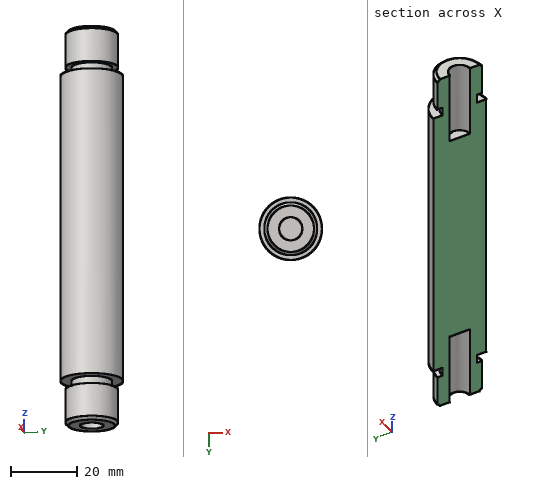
import cadquery as cq

total_length = 123.4
body_diameter = 19.0

journal_diameter = 16.0
journal_length = 11.2
journal_chamfer = 1.0
neck_diameter = 12.3
neck_width = 2.7

hole_diameter = 7.0
hole_depth = 24.7

half_length = total_length / 2
body_length = total_length - 2 * (journal_length + neck_width)


def end_features(direction):
    """Neck and chamfered, drilled journal for one end (+1 top, -1 bottom)."""
    end_plane = cq.Plane(
        origin=(0, 0, direction * half_length),
        xDir=(1, 0, 0),
        normal=(0, 0, direction),
    )
    journal = (
        cq.Workplane(end_plane)
        .circle(journal_diameter / 2)
        .extrude(-journal_length)
        .faces(">Z" if direction > 0 else "<Z")
        .chamfer(journal_chamfer)
    )
    neck = (
        cq.Workplane(end_plane)
        .workplane(offset=-journal_length)
        .circle(neck_diameter / 2)
        .extrude(-neck_width)
    )
    hole = cq.Workplane(end_plane).circle(hole_diameter / 2).extrude(-hole_depth)
    return journal.union(neck), hole


body = (
    cq.Workplane("XY")
    .workplane(offset=-body_length / 2)
    .circle(body_diameter / 2)
    .extrude(body_length)
)

result = body
for direction in (1, -1):
    shaft_end, hole = end_features(direction)
    result = result.union(shaft_end).cut(hole)